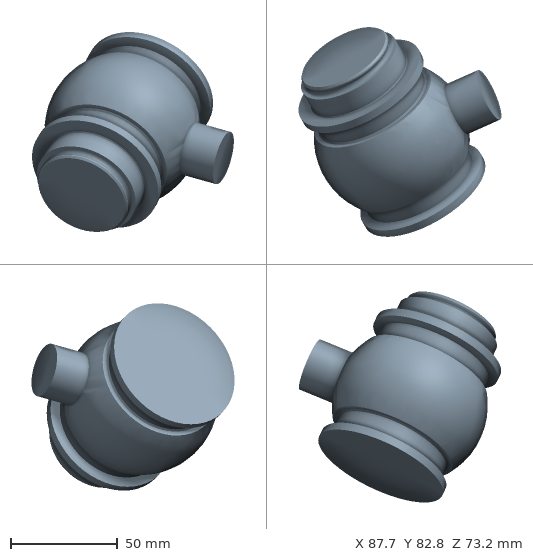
import cadquery as cq
import math

ball_radius = 36.6
ball_half_width = 19.8

neck_radius = 55.7 / 2
neck_weld = 0.8
flange_radius = 63.9 / 2
flange_face = 33.5
flange_rim_width = 3.9
flange_taper_width = 1.5

collar_radius = 50.1 / 2
collar_weld = 0.5
collar_end = 44.3
tip_end = 49.3
groove_radius = 43.9 / 2
groove_fillet = 1.75
groove_width = 0.3
lip_radius = 45.4 / 2
lip_start = 47.7
lip_end = 48.3

pipe_radius = 25.4 / 2
overall_length = 87.7
pipe_end = overall_length - ball_radius


def make_ball():
    """Sphere with flat faces cut across the main axis."""
    ball = cq.Workplane("XY").sphere(ball_radius)
    slab = cq.Workplane("XY").box(2 * ball_radius, 2 * ball_half_width, 2 * ball_radius)
    return ball.intersect(slab)


def make_flanged_necks():
    """Revolved core that carries a neck and a tapered flange at each end."""
    taper_outer = flange_face - flange_rim_width
    taper_inner = taper_outer - flange_taper_width
    half_profile = [
        (neck_radius + neck_weld, ball_half_width),
        (neck_radius, ball_half_width + neck_weld),
        (neck_radius, taper_inner),
        (flange_radius, taper_outer),
        (flange_radius, flange_face),
        (0, flange_face),
    ]
    mirrored = [(radius, -y) for radius, y in reversed(half_profile)]
    profile = cq.Workplane("XY").polyline(mirrored + half_profile).close()
    return profile.revolve(360, (0, 0), (0, 1))


def make_collar_and_tip():
    """Revolved collar with a weld cone at the flange and a grooved, lipped tip."""
    fillet_end = collar_end + groove_fillet
    fillet_sag = groove_fillet * (1 - math.sqrt(0.5))
    fillet_middle = (groove_radius + fillet_sag, -(collar_end + fillet_sag))
    profile = (
        cq.Workplane("XY")
        .moveTo(0, -flange_face)
        .lineTo(collar_radius + collar_weld, -flange_face)
        .lineTo(collar_radius, -flange_face - collar_weld)
        .lineTo(collar_radius, -collar_end)
        .lineTo(groove_radius + groove_fillet, -collar_end)
        .threePointArc(fillet_middle, (groove_radius, -fillet_end))
        .lineTo(groove_radius, -fillet_end - groove_width)
        .lineTo(lip_radius, -lip_start)
        .lineTo(lip_radius, -lip_end)
        .lineTo(groove_radius, -tip_end)
        .lineTo(0, -tip_end)
        .close()
    )
    return profile.revolve(360, (0, 0), (0, 1))


def make_side_pipe():
    """Plain round pipe that starts inside the ball."""
    return cq.Workplane("YZ").circle(pipe_radius).extrude(pipe_end)


result = (
    make_ball()
    .union(make_flanged_necks())
    .union(make_collar_and_tip())
    .union(make_side_pipe())
)